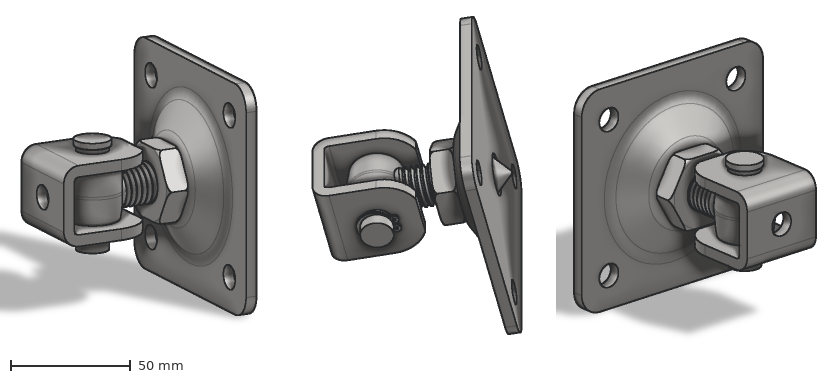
import cadquery as cq
import math


plate_side = 100
plate_thickness = 5
plate_corner_radius = 10
screw_hole_diameter = 10.5
screw_hole_offset = 35
dome_base_radius = 37.7
dome_height = 10
dome_blend_radius = 10
dome_flank_angle = math.radians(31)

nut_across_flats = 32
nut_height = 10
nut_corner_round = 2
nut_face_y = -dome_height - nut_height

bolt_diameter = 18
thread_root_diameter = 14.2
thread_pitch = 2.5
thread_half_angle = math.radians(30)
groove_overcut = 0.2
groove_start_y = -18.6
groove_end_y = -34
bolt_tip_y = plate_thickness + 7

pin_y = -46
pin_diameter = 14
pin_bore_diameter = 14.1
pin_head_diameter = 16
pin_head_height = 3
pin_head_chamfer = 0.35
pin_top_z = 22.4
pin_bottom_z = -25.5
eye_end_diameter = 23.5
eye_middle_diameter = 25.8
eye_flank_middle_diameter = 25.1
eye_band_width = 1.2
eye_rim_radius = 1
eye_height = 25

clevis_width = 38
clevis_thickness = 5
clevis_bend_radius = 7
clevis_gap = eye_height
clevis_front_y = -69.5
clevis_tip_y = -27.4
clevis_tip_width = 19
clevis_arc_length_y = 15
clevis_height = clevis_gap + 2 * clevis_thickness

ring_thickness = 1
ring_top_z = -19.4
ring_diameter = 16
ring_offset = 0.7
pin_groove_diameter = 12
lug_radius = 2
lug_hole_diameter = 1.5
lug_spacing = 5
lug_reach = 9.8
ring_gap = 1


def turned_about_bolt(profile):
    """Revolve a closed profile drawn as (radius, y) about the bolt axis."""
    return profile.close().revolve(360, (0, 0), (0, 1))


def rod_on_bolt_axis(diameter, y_start, y_end):
    """Cylinder on the bolt axis from y_start toward -Y to y_end."""
    rod = cq.Workplane("XZ", origin=(0, y_start, 0)).circle(diameter / 2)
    return rod.extrude(y_start - y_end)


def rod_on_pin_axis(diameter, z_start, z_end):
    """Cylinder on the pin axis from z_start up to z_end."""
    rod = cq.Workplane("XY", origin=(0, pin_y, z_start)).circle(diameter / 2)
    return rod.extrude(z_end - z_start)


def make_dome():
    """Cone with equal tangent blends into the plate face and into its flat top."""
    blend_width = dome_blend_radius * math.sin(dome_flank_angle)
    blend_depth = dome_blend_radius * (1 - math.cos(dome_flank_angle))
    half_blend_width = dome_blend_radius * math.sin(dome_flank_angle / 2)
    half_blend_depth = dome_blend_radius * (1 - math.cos(dome_flank_angle / 2))
    flank_drop = dome_height - 2 * blend_depth
    flank_foot_radius = dome_base_radius - blend_width
    flank_top_radius = flank_foot_radius - flank_drop / math.tan(dome_flank_angle)
    top_radius = flank_top_radius - blend_width
    profile = (
        cq.Workplane("XY")
        .moveTo(0, 0)
        .lineTo(dome_base_radius, 0)
        .threePointArc(
            (dome_base_radius - half_blend_width, -half_blend_depth),
            (flank_foot_radius, -blend_depth),
        )
        .lineTo(flank_top_radius, blend_depth - dome_height)
        .threePointArc(
            (top_radius + half_blend_width, half_blend_depth - dome_height),
            (top_radius, -dome_height),
        )
        .lineTo(0, -dome_height)
    )
    return turned_about_bolt(profile)


def make_plate():
    slab = (
        cq.Workplane("XZ", origin=(0, plate_thickness, 0))
        .rect(plate_side, plate_side)
        .extrude(plate_thickness)
        .edges("|Y")
        .fillet(plate_corner_radius)
    )
    screw_holes = (
        cq.Workplane("XZ", origin=(0, plate_thickness, 0))
        .rect(2 * screw_hole_offset, 2 * screw_hole_offset, forConstruction=True)
        .vertices()
        .circle(screw_hole_diameter / 2)
        .extrude(plate_thickness)
    )
    bolt_hole = rod_on_bolt_axis(bolt_diameter, plate_thickness, -dome_height)
    return slab.union(make_dome()).cut(screw_holes).cut(bolt_hole)


def make_nut():
    """Hexagon with corners at +X and -X, its corners rounded off at both faces."""
    corner_diameter = nut_across_flats / math.cos(math.pi / 6)
    hexagon = (
        cq.Workplane("XZ", origin=(0, -dome_height, 0))
        .polygon(6, corner_diameter)
        .extrude(nut_height)
    )
    envelope = (
        rod_on_bolt_axis(corner_diameter, -dome_height, nut_face_y)
        .faces("|Y")
        .edges()
        .fillet(nut_corner_round)
    )
    bore = rod_on_bolt_axis(bolt_diameter, -dome_height, nut_face_y)
    return hexagon.intersect(envelope).cut(bore)


def make_thread_groove():
    """Helical V groove, swept along local +Z and then turned to point along -Y."""
    root_radius = thread_root_diameter / 2
    outer_radius = bolt_diameter / 2 + groove_overcut
    half_width = (outer_radius - root_radius) * math.tan(thread_half_angle)
    helix = cq.Wire.makeHelix(thread_pitch, groove_start_y - groove_end_y, root_radius)
    groove = (
        cq.Workplane("XZ")
        .polyline([(root_radius, 0), (outer_radius, half_width), (outer_radius, -half_width)])
        .close()
        .sweep(cq.Workplane(helix), isFrenet=True)
    )
    return groove.rotate((0, 0, 0), (1, 0, 0), 90).translate((0, groove_start_y, 0))


def make_eye():
    """Barrel with a narrow cylindrical band, bulged flanks and rounded rims."""
    end_radius = eye_end_diameter / 2
    middle_radius = eye_middle_diameter / 2
    half_height = eye_height / 2
    shoulder_z = half_height - eye_rim_radius
    half_band = eye_band_width / 2
    bulge_radius = eye_flank_middle_diameter / 2
    bulge_z = (shoulder_z + half_band) / 2
    rim_start_radius = end_radius - eye_rim_radius
    rim_inset = eye_rim_radius * (1 - math.cos(math.pi / 4))
    rim_middle_radius = end_radius - rim_inset
    rim_middle_z = half_height - rim_inset
    return (
        cq.Workplane("XZ", origin=(0, pin_y, 0))
        .moveTo(0, -half_height)
        .lineTo(rim_start_radius, -half_height)
        .threePointArc((rim_middle_radius, -rim_middle_z), (end_radius, -shoulder_z))
        .threePointArc((bulge_radius, -bulge_z), (middle_radius, -half_band))
        .lineTo(middle_radius, half_band)
        .threePointArc((bulge_radius, bulge_z), (end_radius, shoulder_z))
        .threePointArc((rim_middle_radius, rim_middle_z), (rim_start_radius, half_height))
        .lineTo(0, half_height)
        .close()
        .revolve(360, (0, 0), (0, 1))
    )


def make_eye_bolt():
    """Pointed threaded shank joined to the eye that turns on the pin."""
    radius = bolt_diameter / 2
    point_base_y = bolt_tip_y - radius
    point = turned_about_bolt(
        cq.Workplane("XY")
        .moveTo(0, bolt_tip_y)
        .lineTo(radius, point_base_y)
        .lineTo(0, point_base_y)
    )
    shank = rod_on_bolt_axis(bolt_diameter, point_base_y, nut_face_y)
    threaded = rod_on_bolt_axis(bolt_diameter, nut_face_y, pin_y).cut(make_thread_groove())
    bore = rod_on_pin_axis(pin_bore_diameter, -eye_height / 2, eye_height / 2)
    return threaded.union(shank).union(point).union(make_eye()).cut(bore)


def make_clevis():
    """Sheet bent to a U, its two tongues rounded toward the plate."""
    length = clevis_tip_y - clevis_front_y
    inner_radius = clevis_bend_radius - clevis_thickness
    half_width = clevis_width / 2
    block = (
        cq.Workplane("XY")
        .box(clevis_width, length, clevis_height, centered=(True, False, True))
        .translate((0, clevis_front_y, 0))
        .edges("|X and <Y")
        .fillet(clevis_bend_radius)
    )
    inside = (
        cq.Workplane("XY")
        .box(clevis_width, length - clevis_thickness, clevis_gap, centered=(True, False, True))
        .translate((0, clevis_front_y + clevis_thickness, 0))
        .edges("|X and <Y")
        .fillet(inner_radius)
    )
    inset = (clevis_width - clevis_tip_width) / 2
    corner_radius = (inset**2 + clevis_arc_length_y**2) / (2 * inset)
    arc_start_y = clevis_tip_y - clevis_arc_length_y
    half_sweep = math.asin(clevis_arc_length_y / corner_radius) / 2
    arc_mid_x = half_width - corner_radius * (1 - math.cos(half_sweep))
    arc_mid_y = arc_start_y + corner_radius * math.sin(half_sweep)
    outline = (
        cq.Workplane("XY", origin=(0, 0, -clevis_height / 2))
        .moveTo(-half_width, clevis_front_y)
        .lineTo(half_width, clevis_front_y)
        .lineTo(half_width, arc_start_y)
        .threePointArc((arc_mid_x, arc_mid_y), (clevis_tip_width / 2, clevis_tip_y))
        .lineTo(-clevis_tip_width / 2, clevis_tip_y)
        .threePointArc((-arc_mid_x, arc_mid_y), (-half_width, arc_start_y))
        .close()
        .extrude(clevis_height)
    )
    pin_holes = rod_on_pin_axis(pin_bore_diameter, -clevis_height / 2, clevis_height / 2)
    front_hole = rod_on_bolt_axis(
        screw_hole_diameter, clevis_front_y + clevis_thickness, clevis_front_y
    )
    return block.cut(inside).intersect(outline).cut(pin_holes).cut(front_hole)


def make_pin():
    """Headed pin with a groove for the retaining ring."""
    head_bottom_z = pin_top_z - pin_head_height
    head = rod_on_pin_axis(pin_head_diameter, head_bottom_z, pin_top_z)
    head = head.faces("<Z").edges().chamfer(pin_head_chamfer)
    body = rod_on_pin_axis(pin_diameter, pin_bottom_z, head_bottom_z)
    ring_bottom_z = ring_top_z - ring_thickness
    groove = rod_on_pin_axis(pin_diameter, ring_bottom_z, ring_top_z).cut(
        rod_on_pin_axis(pin_groove_diameter, ring_bottom_z, ring_top_z)
    )
    return head.union(body).cut(groove)


def make_retaining_ring():
    """Open ring, thickest opposite its gap, with a pierced lug on each side of the gap."""
    level = cq.Workplane("XY", origin=(0, pin_y, ring_top_z - ring_thickness))
    lug_y = lug_reach - lug_radius
    lug_centers = [(-lug_spacing / 2, lug_y), (lug_spacing / 2, lug_y)]
    ring = level.center(0, -ring_offset).circle(ring_diameter / 2).extrude(ring_thickness)
    lugs = level.pushPoints(lug_centers).circle(lug_radius).extrude(ring_thickness)
    lug_holes = level.pushPoints(lug_centers).circle(lug_hole_diameter / 2).extrude(ring_thickness)
    bore = level.circle(pin_groove_diameter / 2).extrude(ring_thickness)
    gap = level.center(0, lug_reach / 2).rect(ring_gap, lug_reach).extrude(ring_thickness)
    return ring.union(lugs).cut(bore).cut(gap).cut(lug_holes)


plate = make_plate()
nut = make_nut()
eye_bolt = make_eye_bolt()
clevis = make_clevis()
pin = make_pin()
retaining_ring = make_retaining_ring()

result = cq.Compound.makeCompound(
    [
        plate.val(),
        nut.val(),
        eye_bolt.val(),
        clevis.val(),
        pin.val(),
        retaining_ring.val(),
    ]
)